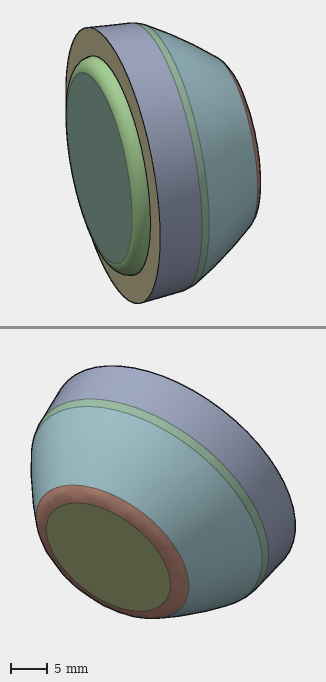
import cadquery as cq
import math

base_radius = 19.5
body_length = 18.0
rim_length = 7.0
rim_draft_angle = 5.0
top_radius = 11.4
flank_bulge_radius = 60.0
edge_round = 3.0
pad_radius = 15.5
pad_height = 2.0

rim_radius = base_radius - rim_length * math.tan(math.radians(rim_draft_angle))


def revolve_about_y(profile):
    """Turn a closed half-profile into a solid of revolution about the Y axis."""
    return profile.revolve(360, (0, 0), (0, 1))


body_profile = (
    cq.Workplane("XY")
    .lineTo(base_radius, 0)
    .lineTo(rim_radius, rim_length)
    .radiusArc((top_radius, body_length), -flank_bulge_radius)
    .lineTo(0, body_length)
    .close()
)
body = revolve_about_y(body_profile)

body = body.edges("%CIRCLE and (not <Y)").fillet(edge_round)

pad_profile = (
    cq.Workplane("XY")
    .lineTo(pad_radius, 0)
    .radiusArc((pad_radius - pad_height, -pad_height), pad_height)
    .lineTo(0, -pad_height)
    .close()
)
pad = revolve_about_y(pad_profile)

result = body.union(pad)